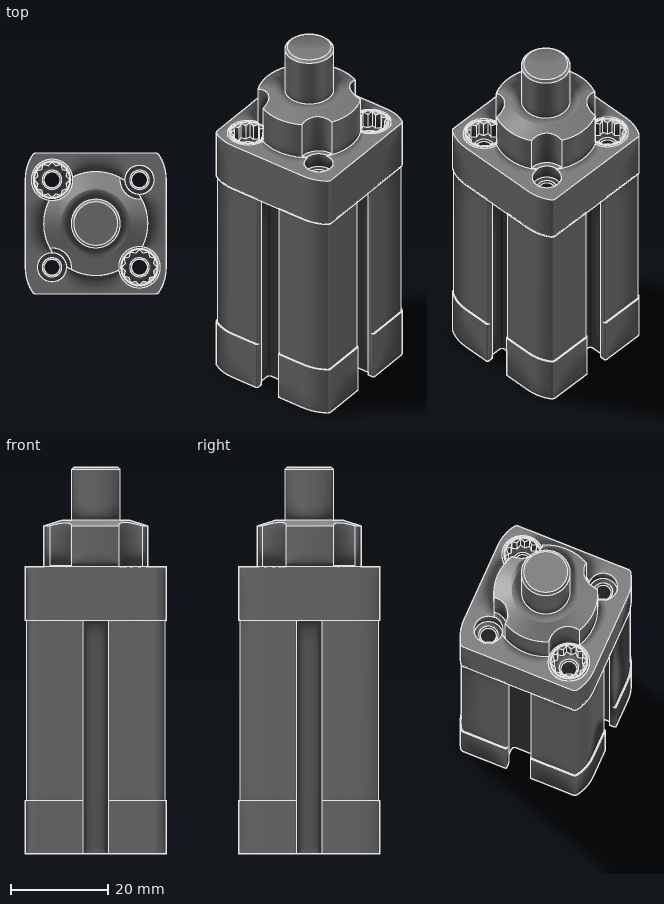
import cadquery as cq
import math


total_height = 79.5
cap_bottom = 48.0
cap_top = 59.1
collar_top = 68.6
foot_height = 11.0

side = 29.0
half_side = side / 2
corner_start = 9.0
corner_radius = 9.55
outline_fillet = 0.95
barrel_inset = 0.2

slot_neck_width = 5.25
slot_lip_fillet = 0.3
slot_lip = 1.4
slot_width = 6.7
slot_depth = 5.0
slot_fillet = 0.7

collar_diameter = 21.4
collar_flat_diameter = 13.8
collar_edge_drop = 1.2
relief_diameter = 7.95
relief_step = 0.2

rod_diameter = 10.0
rod_tip_diameter = 9.0
rod_chamfer = (rod_diameter - rod_tip_diameter) / 2

hole_offset = 9.0
hole_diameter = 3.25
hole_rim_diameter = 4.0
hole_rim_drop = (hole_rim_diameter - hole_diameter) / 2
counterbore_diameter = 6.0
counterbore_depth = 3.0

head_diameter = 8.5
head_chamfer = 0.4
socket_depth = 3.7
spline_teeth = 12
spline_root_diameter = 7.3
spline_tip_diameter = 6.0
spline_mouth_drop = 0.4

counterbore_floor = cap_top - counterbore_depth
socket_floor = cap_top - socket_depth
plain_holes = [(-hole_offset, -hole_offset), (hole_offset, hole_offset)]
screw_holes = [(-hole_offset, hole_offset), (hole_offset, -hole_offset)]


def cylinder(center, diameter, bottom, top):
    """Upright cylinder between two heights."""
    return cq.Workplane("XY", origin=(*center, bottom)).circle(diameter / 2).extrude(top - bottom)


def cone(center, bottom_diameter, top_diameter, bottom, top):
    """Upright truncated cone between two heights."""
    solid = cq.Solid.makeCone(
        bottom_diameter / 2, top_diameter / 2, top - bottom, pnt=cq.Vector(*center, bottom)
    )
    return cq.Workplane(solid)


def outline_block(bottom, top, inset=0.0):
    """Prism of the common outline, shrunk evenly by the inset."""
    radius = corner_radius - inset
    half = half_side - inset
    arc_center = half_side - corner_radius
    end_angle = math.asin((half - corner_start) / radius)
    end_x = arc_center + radius * math.cos(end_angle)
    middle_x = arc_center + radius * math.cos(end_angle / 2)
    middle_y = corner_start + radius * math.sin(end_angle / 2)
    return (
        cq.Workplane("XY", origin=(0, 0, bottom))
        .moveTo(half, -corner_start)
        .lineTo(half, corner_start)
        .threePointArc((middle_x, middle_y), (end_x, half))
        .lineTo(-end_x, half)
        .threePointArc((-middle_x, middle_y), (-half, corner_start))
        .lineTo(-half, -corner_start)
        .threePointArc((-middle_x, -middle_y), (-end_x, -half))
        .lineTo(end_x, -half)
        .threePointArc((middle_x, -middle_y), (half, -corner_start))
        .close()
        .extrude(top - bottom)
        .edges("|Z and (>Y or <Y)")
        .fillet(outline_fillet - inset)
    )


def slot_cutter(bottom, top, inset):
    """T-slot in the +X face: neck with rounded lips in front of a wider channel with rounded floor."""
    face = half_side - inset
    lip_curve_start = face - slot_lip_fillet
    neck_half = slot_neck_width / 2
    mouth_half = neck_half + slot_lip_fillet
    curve_middle = slot_lip_fillet * math.sqrt(0.5)
    middle_x = lip_curve_start + curve_middle
    middle_y = mouth_half - curve_middle
    channel_front = half_side - slot_lip
    channel_floor = half_side - slot_depth
    neck = (
        cq.Workplane("XY", origin=(0, 0, bottom))
        .moveTo(face, -mouth_half)
        .lineTo(face, mouth_half)
        .threePointArc((middle_x, middle_y), (lip_curve_start, neck_half))
        .lineTo(channel_front, neck_half)
        .lineTo(channel_front, -neck_half)
        .lineTo(lip_curve_start, -neck_half)
        .threePointArc((middle_x, -middle_y), (face, -mouth_half))
        .close()
        .extrude(top - bottom)
    )
    channel = (
        cq.Workplane("XY", origin=(0, 0, bottom))
        .center((channel_front + channel_floor) / 2, 0)
        .rect(channel_front - channel_floor, slot_width)
        .extrude(top - bottom)
        .edges("|Z and <X")
        .fillet(slot_fillet)
    )
    return neck.union(channel)


def slotted_block(bottom, top, inset=0.0):
    """Length of barrel with a T-slot in the middle of each side."""
    block = outline_block(bottom, top, inset)
    slot = slot_cutter(bottom, top, inset)
    for quarter in range(4):
        block = block.cut(slot.rotate((0, 0, 0), (0, 0, 1), 90 * quarter))
    return block


def make_barrel():
    barrel = slotted_block(0, foot_height)
    barrel = barrel.union(slotted_block(foot_height, cap_bottom, barrel_inset))
    for center in plain_holes + screw_holes:
        barrel = barrel.cut(cylinder(center, hole_diameter, 0, cap_bottom))
    return barrel


def make_collar():
    """Collar with a conical shoulder, cleared above each corner hole."""
    shoulder = collar_top - collar_edge_drop
    collar = cylinder((0, 0), collar_diameter, cap_top, shoulder)
    collar = collar.union(cone((0, 0), collar_diameter, collar_flat_diameter, shoulder, collar_top))
    for center in plain_holes:
        collar = collar.cut(cylinder(center, relief_diameter, cap_top + relief_step, collar_top))
    for center in screw_holes:
        collar = collar.cut(cylinder(center, head_diameter, cap_top, collar_top))
    return collar


def spline_socket(center):
    """Star-shaped socket with a conical lead-in at the top of the screw head."""
    points = []
    for step in range(2 * spline_teeth):
        radius = (spline_root_diameter if step % 2 == 0 else spline_tip_diameter) / 2
        angle = math.pi * step / spline_teeth
        points.append((radius * math.cos(angle), radius * math.sin(angle)))
    star = cq.Workplane("XY", origin=(*center, socket_floor)).polyline(points).close().extrude(socket_depth)
    lead_in = cone(
        center, spline_tip_diameter, spline_root_diameter, cap_top - spline_mouth_drop, cap_top
    )
    return star.union(lead_in)


def head_groove(center):
    """Groove around the screw head left by the chamfer on its rim."""
    bottom = cap_top - head_chamfer
    flat_diameter = head_diameter - 2 * head_chamfer
    bore = cylinder(center, head_diameter, bottom, cap_top)
    return bore.cut(cone(center, head_diameter, flat_diameter, bottom, cap_top))


def corner_hole(center, floor):
    """Hole through the cap with a conical rim at the floor of its recess."""
    hole = cylinder(center, hole_diameter, cap_bottom, floor)
    return hole.union(cone(center, hole_diameter, hole_rim_diameter, floor - hole_rim_drop, floor))


def make_cap():
    cap = outline_block(cap_bottom, cap_top).union(make_collar())
    cap = cap.cut(cylinder((0, 0), rod_diameter, cap_bottom, collar_top))
    for center in plain_holes:
        cap = cap.cut(cylinder(center, counterbore_diameter, counterbore_floor, cap_top + relief_step))
        cap = cap.cut(corner_hole(center, counterbore_floor))
    for center in screw_holes:
        cap = cap.cut(head_groove(center))
        cap = cap.cut(spline_socket(center))
        cap = cap.cut(corner_hole(center, socket_floor))
    return cap


def make_rod():
    """Rod guided by the cap and resting on the barrel."""
    rod = cylinder((0, 0), rod_diameter, cap_bottom, total_height)
    return rod.faces(">Z").chamfer(rod_chamfer)


barrel = make_barrel()
cap = make_cap()
rod = make_rod()

result = cq.Compound.makeCompound([barrel.val(), cap.val(), rod.val()])